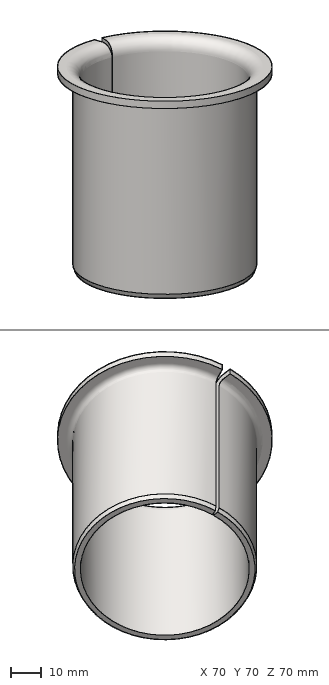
import cadquery as cq

height = 70.0
flange_radius = 35.0
bore_radius = 27.5
wall = 2.5
inner_bend_radius = 4.5
chamfer_height = 1.7
chamfer_width = 0.6
gap_at_bore = 0.3
gap_at_rim = 3.1

body_radius = bore_radius + wall
outer_bend_radius = inner_bend_radius - wall
bend_center_radius = bore_radius + inner_bend_radius
bend_center_height = height - inner_bend_radius


def flanged_sleeve():
    """Revolve the wall profile, which bends outward into the top flange."""
    diagonal = 0.5**0.5
    inner_mid = (
        bend_center_radius - inner_bend_radius * diagonal,
        bend_center_height + inner_bend_radius * diagonal,
    )
    outer_mid = (
        bend_center_radius - outer_bend_radius * diagonal,
        bend_center_height + outer_bend_radius * diagonal,
    )
    profile = (
        cq.Workplane("XZ")
        .moveTo(bore_radius, 0)
        .lineTo(bore_radius, bend_center_height)
        .threePointArc(inner_mid, (bend_center_radius, height))
        .lineTo(flange_radius, height)
        .lineTo(flange_radius, height - wall)
        .lineTo(bend_center_radius, height - wall)
        .threePointArc(outer_mid, (body_radius, bend_center_height))
        .lineTo(body_radius, chamfer_height)
        .lineTo(body_radius - chamfer_width, 0)
        .close()
    )
    sleeve = profile.revolve(360, (0, 0, 0), (0, 1, 0))
    return sleeve.rotate((0, 0, 0), (0, 0, 1), 180)


def split_wedge():
    """Full-height wedge on the -X side, narrow at the bore and wide at the rim."""
    half_slope = (gap_at_rim - gap_at_bore) / 2 / (flange_radius - bore_radius)
    overrun = 0.7
    tip_x = -bore_radius + gap_at_bore / 2 / half_slope
    outer_x = -flange_radius - overrun
    outer_half_gap = (tip_x - outer_x) * half_slope
    return (
        cq.Workplane("XY")
        .polyline([(tip_x, 0), (outer_x, outer_half_gap), (outer_x, -outer_half_gap)])
        .close()
        .extrude(height)
    )


result = flanged_sleeve().cut(split_wedge())